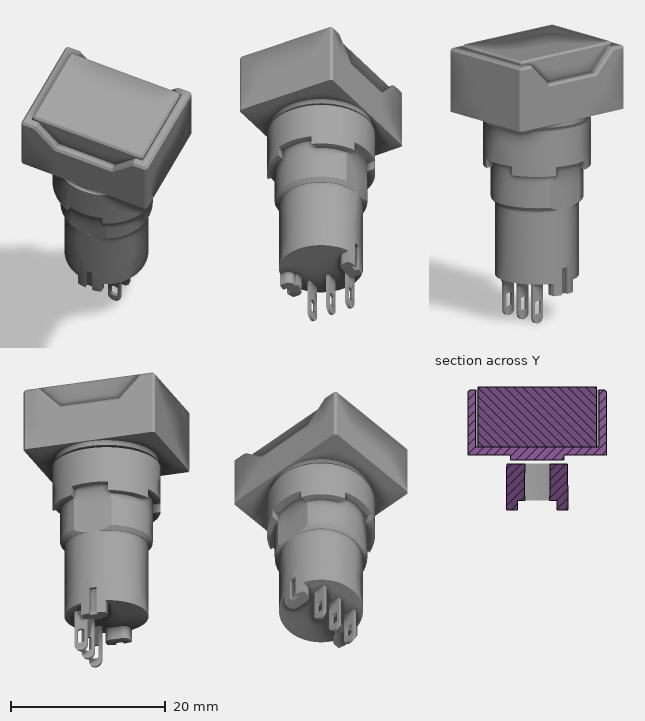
import cadquery as cq


bezel_length = 18.0
bezel_width = 14.0
bezel_height = 8.45
bezel_chamfer = 0.3
wall_thickness = 1.05
recess_floor_z = wall_thickness
recess_length = bezel_length - 2 * wall_thickness
recess_width = bezel_width - 2 * wall_thickness

scoop_depth = 2.95
scoop_bottom_half = 4.0
scoop_top_half = scoop_bottom_half + scoop_depth

button_clearance = 0.07
button_length = recess_length - 2 * button_clearance
button_width = recess_width - 2 * button_clearance
button_top_z = 8.98
button_chamfer = 0.25

ring_radius = 6.75
ring_bottom_z = -0.65
sleeve_radius = 6.0
sleeve_bottom_z = -12.1
sleeve_chamfer_height = 0.55
sleeve_chamfer_inset = 0.47
barrel_radius = 5.45
barrel_bottom_z = -21.95
flat_spacing = 10.8

nut_radius = bezel_width / 2
nut_top_z = -1.1
nut_bottom_z = -7.1
nut_notch_width = 5.0
nut_notch_depth = 1.2

base_bar_width = 9.12
base_top_z = -18.03
leg_width = 3.32
leg_bottom_z = -23.6
leg_inner_y = 3.58
leg_corner_radius = 0.88
leg_groove_width = 1.0
leg_groove_depth = 0.55
leg_groove_top_z = -20.05
leg_rib_tip_y = 3.25
terminal_x = 2.5
terminal_pitch = 2.8
terminal_width = 1.7
terminal_thickness = 0.4
terminal_bottom_z = button_top_z - 36.5
eyelet_width = 1.0
eyelet_height = 1.95
eyelet_center_z = -25.48
eyelet_end_rise = 0.2


def box_between(length, width, bottom_z, top_z):
    """Box centred on the axis, between two heights."""
    return cq.Workplane("XY").workplane(offset=bottom_z).rect(length, width).extrude(top_z - bottom_z)


def cylinder_between(radius, bottom_z, top_z):
    """Cylinder on the axis, between two heights."""
    return cq.Workplane("XY").workplane(offset=bottom_z).circle(radius).extrude(top_z - bottom_z)


def make_base_bar():
    """Bar through the bottom of the barrel, with ends flush with the barrel surface."""
    bar = box_between(base_bar_width, 2 * barrel_radius, barrel_bottom_z, base_top_z)
    return bar.intersect(cylinder_between(barrel_radius, barrel_bottom_z, base_top_z))


def make_bezel():
    """Open-topped rectangular frame with a finger scoop across its long walls."""
    scoop = (
        cq.Workplane("XZ")
        .moveTo(-scoop_top_half, bezel_height)
        .lineTo(-scoop_bottom_half, bezel_height - scoop_depth)
        .lineTo(scoop_bottom_half, bezel_height - scoop_depth)
        .lineTo(scoop_top_half, bezel_height)
        .close()
        .extrude(bezel_width, both=True)
    )
    block = box_between(bezel_length, bezel_width, 0, bezel_height).cut(scoop)
    outer_edges = block.faces("<X or >X or <Y or >Y").edges("not <Z")
    bezel = outer_edges.chamfer(bezel_chamfer)
    return bezel.cut(box_between(recess_length, recess_width, recess_floor_z, bezel_height))


def make_sleeve():
    """Mounting sleeve with two flats and a tapered lower end."""
    taper_top_z = sleeve_bottom_z + sleeve_chamfer_height
    sleeve = (
        cq.Workplane("XZ")
        .lineTo(sleeve_radius, 0)
        .lineTo(sleeve_radius, taper_top_z)
        .lineTo(sleeve_radius - sleeve_chamfer_inset, sleeve_bottom_z)
        .lineTo(0, sleeve_bottom_z)
        .close()
        .revolve(360, (0, 0), (0, 1))
    )
    return sleeve.intersect(box_between(2 * sleeve_radius, flat_spacing, sleeve_bottom_z, 0))


def make_housing():
    """Bezel, seal ring, sleeve and barrel, slotted at the bottom for the terminal base."""
    ring = cylinder_between(ring_radius, ring_bottom_z, 0)
    barrel = cylinder_between(barrel_radius, barrel_bottom_z, sleeve_bottom_z)
    housing = make_bezel().union(ring).union(make_sleeve()).union(barrel)
    return housing.cut(make_base_bar())


def make_button():
    """Chamfered cap standing on the recess floor."""
    button = box_between(button_length, button_width, recess_floor_z, button_top_z)
    return button.edges("|Z or >Z").chamfer(button_chamfer)


def make_nut():
    """Ring nut with four notches in its lower rim."""
    nut = cylinder_between(nut_radius, nut_bottom_z, nut_top_z)
    nut = nut.cut(cylinder_between(sleeve_radius, nut_bottom_z, nut_top_z))
    notch_top_z = nut_bottom_z + nut_notch_depth
    for length, width in ((2 * nut_radius, nut_notch_width), (nut_notch_width, 2 * nut_radius)):
        nut = nut.cut(box_between(length, width, nut_bottom_z, notch_top_z))
    return nut


def make_leg():
    """Leg on the -Y side: round outside, flat sides and rounded inner corners."""
    depth = barrel_radius - leg_inner_y
    leg = box_between(leg_width, depth, leg_bottom_z, barrel_bottom_z)
    leg = leg.edges("|Z and >Y").fillet(leg_corner_radius)
    leg = leg.translate((0, -leg_inner_y - depth / 2, 0))
    return leg.intersect(cylinder_between(barrel_radius, leg_bottom_z, barrel_bottom_z))


def make_leg_groove():
    """Groove in the outer face of the -Y leg, running up into the bar."""
    groove = box_between(leg_groove_width, 2 * leg_groove_depth, leg_bottom_z, leg_groove_top_z)
    return groove.translate((0, -barrel_radius, 0))


def make_leg_rib():
    """Rib on the inner face of the +Y leg, pointing at the axis."""
    rib_length = leg_inner_y - leg_rib_tip_y
    rib = box_between(leg_groove_width, rib_length, leg_bottom_z, barrel_bottom_z)
    return rib.translate((0, leg_rib_tip_y + rib_length / 2, 0))


def make_terminal(y):
    """Flat solder terminal with a rounded tip and an eyelet, centred on the given y."""
    half_width = terminal_width / 2
    tip_center_z = terminal_bottom_z + half_width
    blade = (
        cq.Workplane("XZ")
        .moveTo(-half_width, barrel_bottom_z)
        .lineTo(-half_width, tip_center_z)
        .threePointArc((0, terminal_bottom_z), (half_width, tip_center_z))
        .lineTo(half_width, barrel_bottom_z)
        .close()
        .extrude(terminal_thickness / 2, both=True)
    )
    half_eyelet = eyelet_width / 2
    eyelet_top_z = eyelet_center_z + eyelet_height / 2
    eyelet_low_z = eyelet_center_z - eyelet_height / 2
    eyelet = (
        cq.Workplane("XZ")
        .moveTo(-half_eyelet, eyelet_low_z + eyelet_end_rise)
        .lineTo(-half_eyelet, eyelet_top_z - eyelet_end_rise)
        .threePointArc((0, eyelet_top_z), (half_eyelet, eyelet_top_z - eyelet_end_rise))
        .lineTo(half_eyelet, eyelet_low_z + eyelet_end_rise)
        .threePointArc((0, eyelet_low_z), (-half_eyelet, eyelet_low_z + eyelet_end_rise))
        .close()
        .extrude(terminal_thickness, both=True)
    )
    return blade.cut(eyelet).translate((terminal_x, y, 0))


def make_terminal_base():
    """Bar, two grooved legs, a rib on one of them and a row of three terminals."""
    base = make_base_bar()
    for angle in (0, 180):
        base = base.union(make_leg().rotate((0, 0, 0), (0, 0, 1), angle))
        base = base.cut(make_leg_groove().rotate((0, 0, 0), (0, 0, 1), angle))
    base = base.union(make_leg_rib())
    for y in (-terminal_pitch, 0, terminal_pitch):
        base = base.union(make_terminal(y))
    return base


housing = make_housing()
button = make_button()
nut = make_nut()
terminal_base = make_terminal_base()

result = cq.Compound.makeCompound([housing.val(), button.val(), nut.val(), terminal_base.val()])